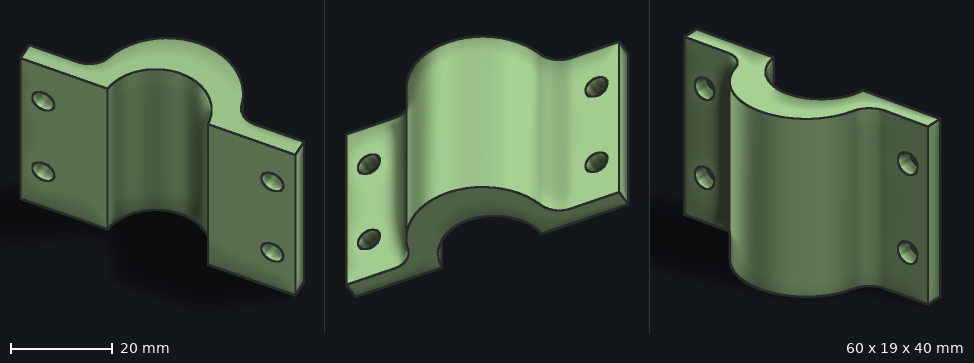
import cadquery as cq
import math

width = 60.0
length = 40.0
height = 19.0

flange_thickness = 4.0
outer_radius = 15.0
outer_center_y = height - outer_radius
fillet_radius = 5.0
bore_radius = 11.0
bore_depth = 10.0
bore_center_y = bore_depth - bore_radius

hole_diameter = 4.8
hole_spacing_x = 50.0
hole_spacing_z = 20.0


def make_body():
    """Flanged saddle, extruded along Z, with fillets from flange to arch."""
    half_width = width / 2
    fillet_center_y = flange_thickness + fillet_radius
    center_distance = outer_radius + fillet_radius
    center_rise = fillet_center_y - outer_center_y
    fillet_center_x = math.sqrt(center_distance**2 - center_rise**2)

    arch_share = outer_radius / center_distance
    tangent_x = fillet_center_x * arch_share
    tangent_y = outer_center_y + center_rise * arch_share

    arch_angle = math.atan2(tangent_y - fillet_center_y, tangent_x - fillet_center_x)
    flange_angle = -math.pi / 2
    middle_angle = (arch_angle + flange_angle) / 2
    middle_x = fillet_center_x + fillet_radius * math.cos(middle_angle)
    middle_y = fillet_center_y + fillet_radius * math.sin(middle_angle)

    return (
        cq.Workplane("XY")
        .moveTo(-half_width, 0)
        .lineTo(half_width, 0)
        .lineTo(half_width, flange_thickness)
        .lineTo(fillet_center_x, flange_thickness)
        .threePointArc((middle_x, middle_y), (tangent_x, tangent_y))
        .threePointArc((0, height), (-tangent_x, tangent_y))
        .threePointArc((-middle_x, middle_y), (-fillet_center_x, flange_thickness))
        .lineTo(-half_width, flange_thickness)
        .close()
        .extrude(length)
    )


def make_bore():
    """Cylinder along Z whose center lies just below the mating face."""
    return cq.Workplane("XY").center(0, bore_center_y).circle(bore_radius).extrude(length)


def make_screw_holes():
    """Four cylinders along Y, one pair in each flange."""
    return (
        cq.Workplane("XZ")
        .center(0, length / 2)
        .rarray(hole_spacing_x, hole_spacing_z, 2, 2)
        .circle(hole_diameter / 2)
        .extrude(-flange_thickness)
    )


result = make_body().cut(make_bore()).cut(make_screw_holes())